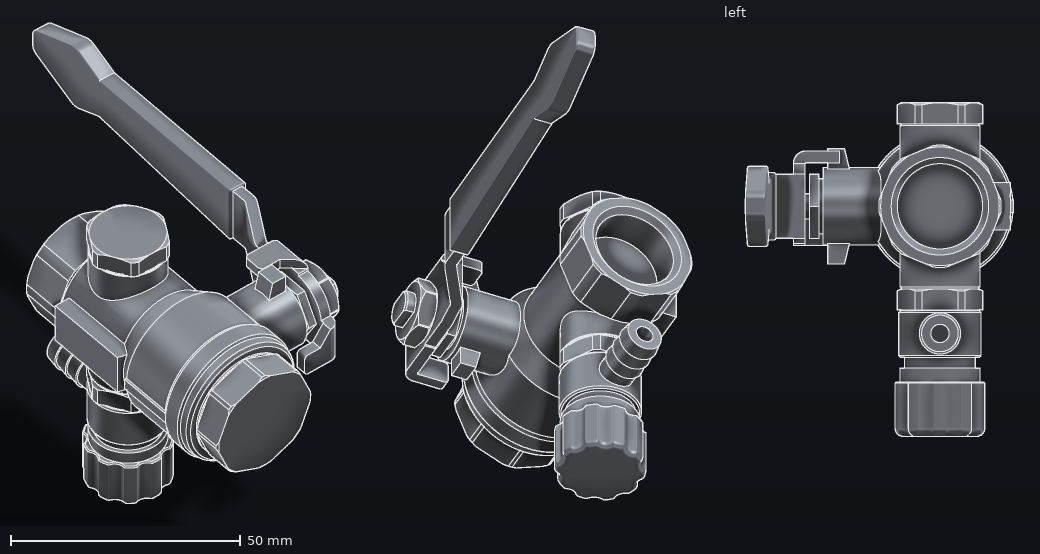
import cadquery as cq
import math


tube_diameter = 25.0
ball_diameter = 31.0
flange_diameter = 32.0
shoulder_start = 12.7
shoulder_end = 18.3
flange_start = 32.4
flange_end = 36.4
flange_step = 0.5
shoulder_chamfer = 0.8
retainer_end = 39.3
retainer_start = 38.6
retainer_diameter = 30.6
run_end = 47.0
groove_width = 0.5
groove_diameter = 26.0

octagon_sides = 8
octagon_turned_diameter = 26.7
inlet_start = -19.1
inlet_end = -7.9
inlet_across_flats = 25.6
outlet_across_flats = 25.0
octagon_chamfer = 0.4

socket_diameter = 18.63
socket_mouth_diameter = 21.3
socket_mouth_depth = 1.3
socket_depth = 9.8

pad_start = -6.35
pad_end = 15.0
pad_root_end = 15.7
pad_root_reach = 13.0
pad_width = 10.3
pad_reach = 15.35
rib_width = 2.75
rib_reach = flange_diameter / 2

branch_diameter = 17.5
branch_length = 17.6
plug_hex_across_flats = 17.0
plug_hex_turned_diameter = 18.7
plug_hex_height = 4.6
plug_chamfer_radial = 0.85
plug_chamfer_height = 0.45
plug_neck_height = 0.4
plug_neck_diameter = 17.0

drain_body_diameter = 18.0
drain_body_top = -22.8
drain_body_bottom = -33.0
drain_body_chamfer = 0.4
drain_neck_diameter = 15.5
drain_neck_bottom = -35.3
drain_collar_bottom = -38.3
cap_diameter = 20.0
cap_bottom = -50.27
cap_flute_count = 10
cap_flute_radius = 2.4
cap_flute_depth = 0.9
cap_ridge_radius = 0.4
cap_edge_radius = 1.8
cap_top_chamfer = 0.3

hose_axis_z = -27.75
hose_tip_x = -23.0
hose_root_diameter = 8.0
hose_barb_diameter = 9.0
hose_bore_diameter = 4.0
hose_bore_depth = 10.0
hose_nose_length = 3.3
hose_barb_pitch = 3.6
hose_barb_count = 3

stem_x = 22.0
boss_diameter = 17.0
boss_top = 25.5
gland_ring_diameter = 12.12
gland_hex_bottom = 26.4
gland_hex_top = 28.5
gland_hex_across_flats = 14.0
stem_diameter = 8.0
stem_across_flats = 5.5
stem_top = 38.3
stem_chamfer = 0.4
nut_across_flats = 13.3
nut_top = 36.0
nut_turned_diameter = 15.2
nut_chamfer_radial = 1.0
nut_chamfer_height = 0.7
hex_sides = 6

lug_width = 4.8
lug_reach = 12.6
lug_top = 24.5
lug_outer_bottom = 20.8
lug_root_bottom = 17.8

plate_thickness = 2.6
plate_bottom = 29.4
plate_top = plate_bottom + plate_thickness
plate_left = 9.8
plate_half_width = 8.15
plate_nose_radius = 8.7
strip_half_width = 7.0
strip_bend_inner_radius = 2.0
strip_low_bend_x = 8.3
strip_high_bend_x = -3.8
strip_high_bend_y = 37.85
strip_insertion = 4.5

tab_reach = 12.1
tab_bottom = 21.9
tab_bend_radius = 2.8
tab_near_edge = -8.6
tab_far_edge = -2.95
tab_neck_edge = 0.9
side_tab_neck_top = plate_top
side_tab_neck_bottom = 27.3
end_tab_neck_top = plate_top - tab_bend_radius
end_tab_neck_bottom = 26.3
tab_corner_radius = 1.0
tab_start_x = stem_x + tab_near_edge

grip_root_x = -8.4
grip_root_y = 38.03
grip_tip_x = -79.46
grip_slope = 1.8
grip_thickness = 4.5
grip_root_half_width = 7.4
grip_waist_x = -55.4
grip_waist_half_width = 5.5
grip_peak_x = -64.2
grip_peak_half_width = 9.1
grip_tip_half_width = 3.0
grip_peak_radius = 4.0
grip_tip_radius = 2.5
grip_root_radius = 0.6
grip_edge_radius = 0.5


def cylinder_x(start, end, diameter):
    plane = cq.Workplane("YZ", origin=(start, 0, 0))
    return plane.circle(diameter / 2).extrude(end - start)


def cylinder_y(start, end, diameter):
    """Cylinder about the stem axis."""
    plane = cq.Workplane("XZ", origin=(stem_x, end, 0))
    return plane.circle(diameter / 2).extrude(end - start)


def cylinder_z(start, end, diameter):
    plane = cq.Workplane("XY", origin=(0, 0, start))
    return plane.circle(diameter / 2).extrude(end - start)


def corner_diameter(across_flats, sides):
    return across_flats / math.cos(math.pi / sides)


def stem_hex(start, end, across_flats):
    """Hexagon about the stem axis with corners toward +X and -X."""
    plane = cq.Workplane("XZ", origin=(stem_x, end, 0))
    return plane.polygon(hex_sides, corner_diameter(across_flats, hex_sides)).extrude(end - start)


def octagon_end(start, end, across_flats, outer_face):
    """Octagon with corners toward Y and Z, trimmed by a turned cylinder."""
    size = corner_diameter(across_flats, octagon_sides)
    octagon = cq.Workplane("YZ", origin=(start, 0, 0)).polygon(octagon_sides, size).extrude(end - start)
    turned = cylinder_x(start, end, octagon_turned_diameter)
    turned = turned.faces(outer_face).edges().chamfer(octagon_chamfer)
    return octagon.intersect(turned)


def make_body():
    profile = [
        (inlet_end, 0),
        (inlet_end, tube_diameter / 2),
        (shoulder_start, tube_diameter / 2),
        (shoulder_end, ball_diameter / 2),
        (flange_start - shoulder_chamfer, ball_diameter / 2),
        (flange_start, flange_diameter / 2),
        (flange_end, flange_diameter / 2),
        (flange_end + flange_step, ball_diameter / 2),
        (retainer_start, retainer_diameter / 2),
        (retainer_end, retainer_diameter / 2 - (retainer_end - retainer_start)),
        (retainer_end, groove_diameter / 2),
        (retainer_end + groove_width, groove_diameter / 2),
        (retainer_end + groove_width, 0),
    ]
    body = cq.Workplane("XY").polyline(profile).close().revolve(360, (0, 0, 0), (1, 0, 0))
    body = body.union(octagon_end(inlet_start, inlet_end, inlet_across_flats, "<X"))
    return body.union(octagon_end(retainer_end + groove_width, run_end, outlet_across_flats, ">X"))


def make_pad_and_rib():
    outline = [
        (pad_start, 0),
        (pad_start, -pad_reach),
        (pad_end, -pad_reach),
        (pad_root_end, -pad_root_reach),
        (pad_root_end, 0),
    ]
    plane = cq.Workplane("XY", origin=(0, 0, -pad_width / 2))
    pad = plane.polyline(outline).close().extrude(pad_width)
    rib = cq.Workplane("XY").box(
        flange_start - shoulder_end, rib_reach, rib_width, centered=(False, False, True)
    ).translate((shoulder_end, -rib_reach, 0))
    return pad.union(rib)


def make_socket():
    mouth_end = inlet_start + socket_mouth_depth
    profile = [
        (inlet_start, 0),
        (inlet_start, socket_mouth_diameter / 2),
        (mouth_end, socket_diameter / 2),
        (inlet_start + socket_depth, socket_diameter / 2),
        (inlet_start + socket_depth, 0),
    ]
    return cq.Workplane("XY").polyline(profile).close().revolve(360, (0, 0, 0), (1, 0, 0))


def plug_hex(start):
    """Hexagon with corners toward +Y and -Y, trimmed by a turned cylinder."""
    size = corner_diameter(plug_hex_across_flats, hex_sides)
    plane = cq.Workplane("XY", origin=(0, 0, start))
    hexagon = plane.polygon(hex_sides, size).extrude(plug_hex_height)
    hexagon = hexagon.rotate((0, 0, 0), (0, 0, 1), 90)
    turned = cylinder_z(start, start + plug_hex_height, plug_hex_turned_diameter)
    turned = turned.faces(">Z").edges().chamfer(plug_chamfer_height, plug_chamfer_radial)
    return hexagon.intersect(turned)


def make_branches():
    hex_start = branch_length + plug_neck_height
    branches = cylinder_z(-branch_length, branch_length, branch_diameter)
    branches = branches.union(cylinder_z(drain_body_top, hex_start, plug_neck_diameter))
    branches = branches.union(plug_hex(hex_start))
    return branches.union(plug_hex(-hex_start - plug_hex_height))


def make_cap():
    cap = cylinder_z(cap_bottom, drain_collar_bottom, cap_diameter)
    flute_centre = cap_diameter / 2 - cap_flute_depth + cap_flute_radius
    flutes = (
        cq.Workplane("XY", origin=(0, 0, cap_bottom))
        .polarArray(flute_centre, -90, 360, cap_flute_count)
        .circle(cap_flute_radius)
        .extrude(drain_collar_bottom - cap_bottom)
    )
    cap = cap.cut(flutes)
    cap = cap.edges("|Z").fillet(cap_ridge_radius)
    cap = cap.faces("<Z").edges().fillet(cap_edge_radius)
    return cap.faces(">Z").edges().chamfer(cap_top_chamfer)


def make_hose_tail():
    profile = [(0, 0), (hose_tip_x, 0), (hose_tip_x, hose_root_diameter / 2)]
    for index in range(hose_barb_count):
        ridge_x = hose_tip_x + hose_nose_length + index * hose_barb_pitch
        profile.append((ridge_x, hose_barb_diameter / 2))
        profile.append((ridge_x, hose_root_diameter / 2))
    profile.append((0, hose_root_diameter / 2))
    tail = cq.Workplane("XY").polyline(profile).close().revolve(360, (0, 0, 0), (1, 0, 0))
    tail = tail.cut(cylinder_x(hose_tip_x, hose_tip_x + hose_bore_depth, hose_bore_diameter))
    return tail.translate((0, 0, hose_axis_z))


def make_drain_valve():
    valve = cylinder_z(drain_body_bottom, drain_body_top, drain_body_diameter)
    valve = valve.edges().chamfer(drain_body_chamfer)
    valve = valve.union(cylinder_z(drain_neck_bottom, drain_body_bottom, drain_neck_diameter))
    valve = valve.union(cylinder_z(drain_collar_bottom, drain_neck_bottom, branch_diameter))
    return valve.union(make_cap()).union(make_hose_tail())


def make_lugs():
    outline = [
        (lug_top, 0),
        (lug_top, lug_reach),
        (lug_outer_bottom, lug_reach),
        (lug_root_bottom, 0),
    ]
    plane = cq.Workplane("YZ", origin=(stem_x - lug_width / 2, 0, 0))
    lug = plane.polyline(outline).close().extrude(lug_width)
    return lug.union(lug.mirror("XY"))


def make_nut():
    nut = stem_hex(plate_top, nut_top, nut_across_flats)
    blank = cylinder_y(plate_top, nut_top, nut_turned_diameter)
    blank = blank.faces(">Y").edges().chamfer(nut_chamfer_height, nut_chamfer_radial)
    blank = blank.faces("<Y").edges().chamfer(nut_chamfer_height, nut_chamfer_radial)
    return nut.intersect(blank)


def make_stem():
    boss = cylinder_y(0, boss_top, boss_diameter)
    ring = cylinder_y(boss_top, gland_hex_bottom, gland_ring_diameter)
    gland = stem_hex(gland_hex_bottom, gland_hex_top, gland_hex_across_flats)
    stem = cylinder_y(gland_hex_top, stem_top, stem_diameter).faces(">Y").edges().chamfer(stem_chamfer)
    flats = cq.Workplane("XY").box(2 * stem_diameter, 2 * stem_top, stem_across_flats)
    stem = stem.intersect(flats.translate((stem_x, stem_top, 0)))
    return boss.union(ring).union(gland).union(stem).union(make_nut()).union(make_lugs())


def make_tab(neck_top, neck_bottom):
    """Tab bent down from the plate toward +Z, narrowing below neck_top, with the stem axis at X = 0."""
    inner_radius = tab_bend_radius - plate_thickness
    straight_end = tab_reach - tab_bend_radius
    bend_y = plate_top - tab_bend_radius
    quarter = math.sqrt(0.5)
    section = (
        cq.Workplane("YZ", origin=(tab_near_edge, 0, 0))
        .moveTo(plate_top, 0)
        .lineTo(plate_top, straight_end)
        .threePointArc(
            (bend_y + tab_bend_radius * quarter, straight_end + tab_bend_radius * quarter),
            (bend_y, tab_reach),
        )
        .lineTo(tab_bottom, tab_reach)
        .lineTo(tab_bottom, tab_reach - plate_thickness)
        .lineTo(bend_y, tab_reach - plate_thickness)
        .threePointArc(
            (bend_y + inner_radius * quarter, straight_end + inner_radius * quarter),
            (plate_bottom, straight_end),
        )
        .lineTo(plate_bottom, 0)
        .close()
        .extrude(tab_neck_edge - tab_near_edge)
    )
    outline = [
        (tab_near_edge, tab_bottom),
        (tab_near_edge, plate_top),
        (tab_neck_edge, plate_top),
        (tab_far_edge, neck_bottom),
        (tab_far_edge, tab_bottom),
    ]
    if neck_top < plate_top:
        outline.insert(3, (tab_neck_edge, neck_top))
    silhouette = (
        cq.Workplane("XY")
        .polyline(outline)
        .close()
        .extrude(tab_reach)
    )
    silhouette = silhouette.edges("|Z and <Y").fillet(tab_corner_radius)
    return section.intersect(silhouette)


def make_plate():
    shoulder_z = tab_reach - tab_bend_radius
    tab_end_x = stem_x + tab_neck_edge
    flare_length = tab_start_x - plate_left
    flare_rise = shoulder_z - strip_half_width
    plate_flare_radius = (flare_length**2 + flare_rise**2) / (2 * flare_rise)
    quarter_offset = plate_nose_radius * math.sqrt(0.5)
    arc_reach = math.sqrt(plate_nose_radius**2 - tab_neck_edge**2)
    outline = (
        cq.Workplane("XZ", origin=(0, plate_top, 0))
        .moveTo(plate_left, -strip_half_width)
        .lineTo(plate_left, strip_half_width)
        .radiusArc((tab_start_x, shoulder_z), -plate_flare_radius)
        .lineTo(tab_end_x, shoulder_z)
        .lineTo(tab_end_x, arc_reach)
        .threePointArc((stem_x + quarter_offset, quarter_offset), (stem_x + arc_reach, tab_neck_edge))
        .lineTo(stem_x + arc_reach, -plate_half_width)
        .lineTo(tab_start_x, -plate_half_width)
        .close()
    )
    plate = outline.extrude(plate_thickness)
    side_tab = make_tab(side_tab_neck_top, side_tab_neck_bottom).translate((stem_x, 0, 0))
    end_tab = make_tab(end_tab_neck_top, end_tab_neck_bottom)
    end_tab = end_tab.mirror(cq.Vector(1, 0, -1), (0, 0, 0)).translate((stem_x, 0, 0))
    return plate.union(side_tab).union(end_tab)


def make_strip():
    """Cranked strip from the plate up into the grip."""
    half = plate_thickness / 2
    low_y = plate_bottom + half
    rise = math.atan2(strip_high_bend_y - low_y, strip_low_bend_x - strip_high_bend_x)
    shift = half * math.tan(rise / 2)
    upper_low = (strip_low_bend_x + shift, low_y + half)
    upper_high = (strip_high_bend_x + shift, strip_high_bend_y + half)
    lower_low = (strip_low_bend_x - shift, low_y - half)
    lower_high = (strip_high_bend_x - shift, strip_high_bend_y - half)
    hidden_x = grip_root_x - strip_insertion
    strip = (
        cq.Workplane("XY", origin=(0, 0, -strip_half_width))
        .polyline([
            (tab_start_x, plate_top),
            upper_low,
            upper_high,
            (hidden_x, strip_high_bend_y + half),
            (hidden_x, strip_high_bend_y - half),
            lower_high,
            lower_low,
            (tab_start_x, plate_bottom),
        ])
        .close()
        .extrude(2 * strip_half_width)
    )
    outer_radius = strip_bend_inner_radius + plate_thickness
    for point, radius in (
        (upper_low, strip_bend_inner_radius),
        (lower_low, outer_radius),
        (lower_high, strip_bend_inner_radius),
        (upper_high, outer_radius),
    ):
        corner = cq.selectors.NearestToPointSelector((point[0], point[1], 0))
        strip = strip.edges("|Z").edges(corner).fillet(radius)
    return strip


def make_grip():
    upper = [
        (grip_root_x, grip_root_half_width),
        (grip_waist_x, grip_waist_half_width),
        (grip_peak_x, grip_peak_half_width),
        (grip_tip_x, grip_tip_half_width),
    ]
    lower = [(x, -z) for x, z in reversed(upper)]
    plane = cq.Workplane("XZ", origin=(0, grip_root_y + grip_thickness / 2, 0))
    grip = plane.polyline(upper + lower).close().extrude(grip_thickness)
    for side in (1, -1):
        for x, z, radius in (
            (grip_peak_x, grip_peak_half_width, grip_peak_radius),
            (grip_tip_x, grip_tip_half_width, grip_tip_radius),
            (grip_root_x, grip_root_half_width, grip_root_radius),
        ):
            corner = cq.selectors.NearestToPointSelector((x, grip_root_y, side * z))
            grip = grip.edges("|Y").edges(corner).fillet(radius)
    grip = grip.faces("<Y or >Y").edges().fillet(grip_edge_radius)
    pivot = (grip_root_x, grip_root_y, 0)
    return grip.rotate(pivot, (grip_root_x, grip_root_y, 1), -grip_slope)


result = (
    make_body()
    .union(make_pad_and_rib())
    .union(make_branches())
    .cut(make_socket())
    .union(make_drain_valve())
    .union(make_stem())
    .union(make_plate())
    .union(make_strip())
    .union(make_grip())
)